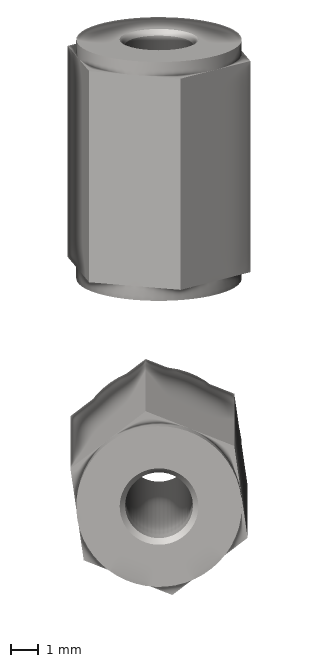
import cadquery as cq
import math

total_height = 9
across_flats = 6.0
collar_height = 0.52
bore_diameter = 2.46
countersink_diameter = 2.85

across_corners = across_flats / math.cos(math.pi / 6)
hex_height = total_height - 2 * collar_height
countersink_depth = (countersink_diameter - bore_diameter) / 2

core = cq.Workplane("XY").circle(across_flats / 2).extrude(total_height)

hexagon = (
    cq.Workplane("XY")
    .workplane(offset=collar_height)
    .polygon(6, across_corners)
    .extrude(hex_height)
)

body = core.union(hexagon).faces(">Z").workplane().hole(bore_diameter)
bore_rims = cq.selectors.RadiusNthSelector(0)
result = body.faces("<Z or >Z").edges(bore_rims).chamfer(countersink_depth)